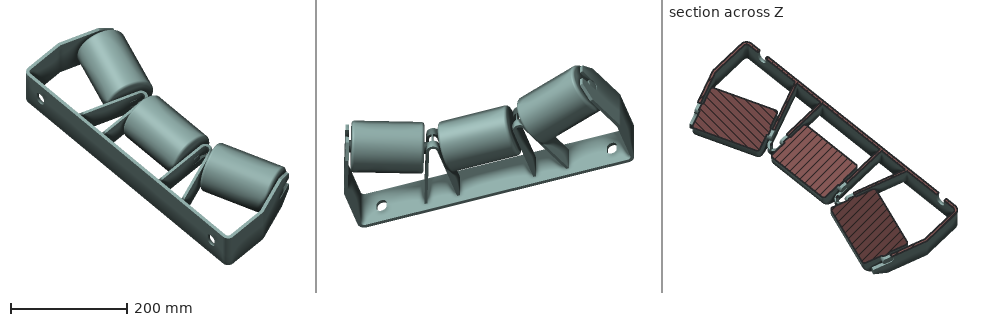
import cadquery as cq
import math

FRAME_LENGTH = 500.0
STRIP_THICKNESS = 6.0
STRIP_HEIGHT = 80.0
STRIP_BEND_RADIUS = 12.0
ARM_BEND_Y = 83.0
ARM_TIP_Y = 182.5
TIP_CORNER_LENGTH = 28.0
TIP_CORNER_HEIGHT = 16.5
MOUNT_SLOT_WIDTH = 18.0
MOUNT_SLOT_HEIGHT = 27.0
MOUNT_SLOT_INSET = 41.5

HAIRPIN_THICKNESS = 5.0
HAIRPIN_HEIGHT = 48.0
HAIRPIN_BEND_RADIUS = 12.0
HAIRPIN_BEND_Y = 115.0

TILT = 20.0
ROLLER_DIAMETER = 89.0
ROLLER_LENGTH = 125.0
ROLLER_EDGE_RADIUS = 5.0
SUPPORT_GAP = 4.0
CENTRE_ROLLER_Y = 99.0
OUTER_ROLLER_Y = 130.0

SHAFT_DIAMETER = 21.0
FLATS_WIDTH = 15.0
SHAFT_SLOT_WIDTH = 17.0
SHOULDER_LENGTH = 2.5

HALF_LENGTH = FRAME_LENGTH / 2
SIN = math.sin(math.radians(TILT))
COS = math.cos(math.radians(TILT))
SUPPORT_DISTANCE = ROLLER_LENGTH / 2 + SUPPORT_GAP
SHAFT_HALF_LENGTH = SUPPORT_DISTANCE + HAIRPIN_THICKNESS
SLOT_HALF_SPAN = SUPPORT_DISTANCE + 1.5 * STRIP_THICKNESS
SLOT_REACH = ROLLER_DIAMETER / 2

ARM_BEND_CENTRE = (HALF_LENGTH - STRIP_BEND_RADIUS, ARM_BEND_Y)
HAIRPIN_BEND_CENTRE = (SUPPORT_DISTANCE + HAIRPIN_BEND_RADIUS, HAIRPIN_BEND_Y)


def along_tilted_axis(x, y):
    """Position of a point along the direction of the right outer roller's axis."""
    return x * COS + y * SIN


ARM_INNER_FACE = along_tilted_axis(*ARM_BEND_CENTRE) + STRIP_BEND_RADIUS - STRIP_THICKNESS
HAIRPIN_FACE = along_tilted_axis(*HAIRPIN_BEND_CENTRE) + HAIRPIN_BEND_RADIUS
OUTER_ROLLER_X = ((ARM_INNER_FACE + HAIRPIN_FACE) / 2 - OUTER_ROLLER_Y * SIN) / COS


def point_on_bend(centre, radius, angle):
    """Point on a bend; the angle is in degrees from +X."""
    turn = math.radians(angle)
    return (centre[0] + radius * math.cos(turn), centre[1] + radius * math.sin(turn))


def mirrored(shape):
    return shape.union(shape.mirror("YZ"))


def extruded(outline, height):
    return outline.close().extrude(height / 2, both=True)


def half_strip():
    """Right half of the bent strip: base, side wall and leaning arm with a trimmed tip."""
    outer = STRIP_BEND_RADIUS
    inner = STRIP_BEND_RADIUS - STRIP_THICKNESS
    corner = (HALF_LENGTH - STRIP_BEND_RADIUS, STRIP_BEND_RADIUS)
    arm_start = point_on_bend(ARM_BEND_CENTRE, outer, TILT)
    arm_length = (ARM_TIP_Y - arm_start[1]) / COS
    tip_outer = (arm_start[0] - arm_length * SIN, ARM_TIP_Y)
    tip_inner = (tip_outer[0] - STRIP_THICKNESS * COS, tip_outer[1] - STRIP_THICKNESS * SIN)

    outline = (
        cq.Workplane("XY")
        .moveTo(0, 0)
        .lineTo(corner[0], 0)
        .threePointArc(point_on_bend(corner, outer, -45), point_on_bend(corner, outer, 0))
        .lineTo(HALF_LENGTH, ARM_BEND_Y)
        .threePointArc(point_on_bend(ARM_BEND_CENTRE, outer, TILT / 2), arm_start)
        .lineTo(*tip_outer)
        .lineTo(*tip_inner)
        .lineTo(*point_on_bend(ARM_BEND_CENTRE, inner, TILT))
        .threePointArc(
            point_on_bend(ARM_BEND_CENTRE, inner, TILT / 2),
            point_on_bend(ARM_BEND_CENTRE, inner, 0),
        )
        .lineTo(HALF_LENGTH - STRIP_THICKNESS, corner[1])
        .threePointArc(point_on_bend(corner, inner, -45), point_on_bend(corner, inner, -90))
        .lineTo(0, STRIP_THICKNESS)
    )
    strip = extruded(outline, STRIP_HEIGHT)
    tip_plane = cq.Plane(origin=(*tip_outer, 0), xDir=(-SIN, COS, 0), normal=(COS, SIN, 0))
    top = STRIP_HEIGHT / 2
    for side in (1, -1):
        corner_cut = (
            cq.Workplane(tip_plane)
            .polyline([
                (0, side * top),
                (-TIP_CORNER_LENGTH, side * top),
                (0, side * (top - TIP_CORNER_HEIGHT)),
            ])
            .close()
            .extrude(STRIP_THICKNESS, both=True)
        )
        strip = strip.cut(corner_cut)
    return strip


def mounting_slot():
    return (
        cq.Workplane("XZ")
        .center(HALF_LENGTH - MOUNT_SLOT_INSET, 0)
        .slot2D(MOUNT_SLOT_HEIGHT, MOUNT_SLOT_WIDTH, 90)
        .extrude(STRIP_THICKNESS, both=True)
    )


def hairpin():
    """Right hairpin: a straight leg, a bend and a leaning leg, both legs ending on the base."""
    outer = HAIRPIN_BEND_RADIUS
    inner = HAIRPIN_BEND_RADIUS - HAIRPIN_THICKNESS
    crown = (180 + TILT) / 2

    def leg_foot(radius):
        start = point_on_bend(HAIRPIN_BEND_CENTRE, radius, TILT)
        return (start[0] + (start[1] - STRIP_THICKNESS) * SIN / COS, STRIP_THICKNESS)

    outline = (
        cq.Workplane("XY")
        .moveTo(SUPPORT_DISTANCE, STRIP_THICKNESS)
        .lineTo(*point_on_bend(HAIRPIN_BEND_CENTRE, outer, 180))
        .threePointArc(
            point_on_bend(HAIRPIN_BEND_CENTRE, outer, crown),
            point_on_bend(HAIRPIN_BEND_CENTRE, outer, TILT),
        )
        .lineTo(*leg_foot(outer))
        .lineTo(*leg_foot(inner))
        .lineTo(*point_on_bend(HAIRPIN_BEND_CENTRE, inner, TILT))
        .threePointArc(
            point_on_bend(HAIRPIN_BEND_CENTRE, inner, crown),
            point_on_bend(HAIRPIN_BEND_CENTRE, inner, 180),
        )
        .lineTo(SUPPORT_DISTANCE + HAIRPIN_THICKNESS, STRIP_THICKNESS)
    )
    return extruded(outline, HAIRPIN_HEIGHT)


def place_outer(shape):
    """Move a shape from a roller's own axes to the right outer roller."""
    return shape.rotate((0, 0, 0), (0, 0, 1), TILT).translate((OUTER_ROLLER_X, OUTER_ROLLER_Y, 0))


def place_centre(shape):
    return shape.translate((0, CENTRE_ROLLER_Y, 0))


def shaft_rod(half_length):
    """Round rod along X, centred on the origin."""
    return (
        cq.Workplane("YZ", origin=(-half_length, 0, 0))
        .circle(SHAFT_DIAMETER / 2)
        .extrude(2 * half_length)
    )


def flatted_shaft():
    """Full-length shaft with two flats facing up and down."""
    flats = cq.Workplane("XY").box(2 * SHAFT_HALF_LENGTH, SHAFT_DIAMETER, FLATS_WIDTH)
    return shaft_rod(SHAFT_HALF_LENGTH).intersect(flats)


def roller():
    """Roller with its shaft along X, centred on the origin."""
    barrel = (
        cq.Workplane("YZ", origin=(-ROLLER_LENGTH / 2, 0, 0))
        .circle(ROLLER_DIAMETER / 2)
        .extrude(ROLLER_LENGTH)
        .edges()
        .fillet(ROLLER_EDGE_RADIUS)
    )
    shoulders = shaft_rod(ROLLER_LENGTH / 2 + SHOULDER_LENGTH)
    return barrel.union(shoulders).union(flatted_shaft())


def shaft_slots():
    """Cutter for the slots of one roller: round-bottomed, open toward +Y, and fitted to the shaft."""
    slot_radius = SHAFT_SLOT_WIDTH / 2
    bottom_centre = slot_radius - SHAFT_DIAMETER / 2
    slot = (
        cq.Workplane("YZ", origin=(-SLOT_HALF_SPAN, 0, 0))
        .moveTo(SLOT_REACH, slot_radius)
        .lineTo(bottom_centre, slot_radius)
        .threePointArc((bottom_centre - slot_radius, 0), (bottom_centre, -slot_radius))
        .lineTo(SLOT_REACH, -slot_radius)
        .close()
        .extrude(2 * SLOT_HALF_SPAN)
    )
    return slot.union(flatted_shaft())


def frame():
    """Strip and hairpins in one piece, with the centre roller's shaft fixed in its slots."""
    strip = half_strip().cut(mounting_slot())
    right_half = strip.union(hairpin()).cut(place_outer(shaft_slots())).cut(place_centre(shaft_slots()))
    return mirrored(right_half).union(place_centre(roller()))


frame_body = frame()
right_roller = place_outer(roller())
outer_rollers = [right_roller, right_roller.mirror("YZ")]

result = cq.Compound.makeCompound([frame_body.val(), *[body.val() for body in outer_rollers]])